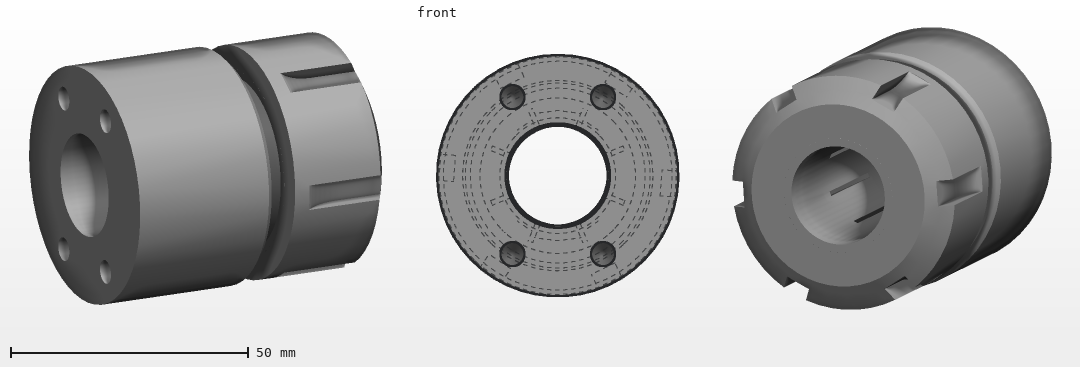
import cadquery as cq
import math


TOTAL_LENGTH = 60.3
SHOULDER_Y = 31.85
NUT_REAR_Y = 36.9
THREAD_FRONT_Y = 53.1
COLLET_REAR_Y = 14.95

BODY_RADIUS = 50.8 / 2
SHOULDER_CHAMFER = 1.3
NECK_RADIUS = 18.4
THREAD_RADIUS = 20.0
BORE_RADIUS = 22.0 / 2

HOLE_DIAMETER = 5.05
HOLE_DEPTH = 12.05
HOLE_CIRCLE_RADIUS = 19.05
HOLE_ANGLES = (60, 120, 240, 300)
DRILL_POINT_ANGLE = 118.0

COLLET_BORE_RADIUS = 10.5
TAPER_ANGLE = 8.0
FRONT_TAPER_ANGLE = 30.0
SLIT_COUNT = 8
SLIT_WIDTH = 1.0
SLIT_DEPTH = 24.15
SLIT_FLOOR_ANGLE = 46.0

NUT_RADIUS = 50.0 / 2
NUT_CHAMFER_LENGTH = 3.2
NUT_CHAMFER_ANGLE = 60.0
NUT_TURN = 4.0
SLOT_COUNT = 6
SLOT_WIDTH = 5.5
SLOT_FLOOR_RADIUS = 21.8
SLOT_REAR_Y = 40.35
SLOT_CUTTER_RADIUS = 11.95
CLEARANCE = 0.6

COLLET_MAX_RADIUS = BORE_RADIUS + (THREAD_FRONT_Y - COLLET_REAR_Y) * math.tan(math.radians(TAPER_ANGLE))
COLLET_FRONT_RADIUS = COLLET_MAX_RADIUS - (TOTAL_LENGTH - THREAD_FRONT_Y) * math.tan(
    math.radians(FRONT_TAPER_ANGLE)
)

NUT_FRONT_RADIUS = NUT_RADIUS - NUT_CHAMFER_LENGTH * math.tan(math.radians(NUT_CHAMFER_ANGLE))

AXIS_START = (0, 0, 0)
AXIS_END = (0, 1, 0)


def turned(outline):
    """Revolve an outline of (y, radius) points about the Y axis."""
    return cq.Workplane("YZ").polyline(outline).close().revolve(360, (0, 0), (1, 0))


def extruded_across(profile, width):
    """Extrude a profile drawn in the YZ plane, centred on that plane."""
    return profile.extrude(width / 2, both=True)


def cut_around(part, cutter, count):
    """Cut equally spaced copies of a cutter around the Y axis, the first half a pitch from +Z."""
    for index in range(count):
        angle = (index + 0.5) * 360 / count
        part = part.cut(cutter.rotate(AXIS_START, AXIS_END, angle))
    return part


def make_mounting_hole():
    """A blind hole on the Y axis, entering at Y = 0 and ending in a drill point."""
    radius = HOLE_DIAMETER / 2
    point_length = radius / math.tan(math.radians(DRILL_POINT_ANGLE / 2))
    return turned([(0, 0), (0, radius), (HOLE_DEPTH, radius), (HOLE_DEPTH + point_length, 0)])


def make_body():
    body = turned(
        [
            (0, BORE_RADIUS),
            (0, BODY_RADIUS),
            (SHOULDER_Y - SHOULDER_CHAMFER, BODY_RADIUS),
            (SHOULDER_Y, BODY_RADIUS - SHOULDER_CHAMFER),
            (SHOULDER_Y, NECK_RADIUS),
            (NUT_REAR_Y, NECK_RADIUS),
            (NUT_REAR_Y, THREAD_RADIUS),
            (THREAD_FRONT_Y, THREAD_RADIUS),
            (THREAD_FRONT_Y, COLLET_MAX_RADIUS),
            (COLLET_REAR_Y, BORE_RADIUS),
        ]
    )
    hole = make_mounting_hole()
    for angle in HOLE_ANGLES:
        x = HOLE_CIRCLE_RADIUS * math.cos(math.radians(angle))
        z = HOLE_CIRCLE_RADIUS * math.sin(math.radians(angle))
        body = body.cut(hole.translate((x, 0, z)))
    return body


def make_slit():
    """A slit open to the rear, its floor sloping forward from the bore outward."""
    inner = COLLET_BORE_RADIUS - CLEARANCE
    outer = COLLET_MAX_RADIUS
    floor_slope = math.tan(math.radians(SLIT_FLOOR_ANGLE))
    floor_at_bore = COLLET_REAR_Y + SLIT_DEPTH
    profile = cq.Workplane("YZ").polyline(
        [
            (COLLET_REAR_Y - CLEARANCE, inner),
            (COLLET_REAR_Y - CLEARANCE, outer),
            (floor_at_bore + (outer - COLLET_BORE_RADIUS) * floor_slope, outer),
            (floor_at_bore + (inner - COLLET_BORE_RADIUS) * floor_slope, inner),
        ]
    ).close()
    return extruded_across(profile, SLIT_WIDTH)


def make_collet():
    collet = turned(
        [
            (COLLET_REAR_Y, COLLET_BORE_RADIUS),
            (COLLET_REAR_Y, BORE_RADIUS),
            (THREAD_FRONT_Y, COLLET_MAX_RADIUS),
            (TOTAL_LENGTH, COLLET_FRONT_RADIUS),
            (TOTAL_LENGTH, COLLET_BORE_RADIUS),
        ]
    )
    return cut_around(collet, make_slit(), SLIT_COUNT)


def make_wrench_slot():
    """A flat-floored slot open to the front, curving out to the nut's surface at the rear."""
    edge_height = math.sqrt(NUT_RADIUS**2 - (SLOT_WIDTH / 2) ** 2)
    rise = edge_height - SLOT_FLOOR_RADIUS
    run = math.sqrt(SLOT_CUTTER_RADIUS**2 - (SLOT_CUTTER_RADIUS - rise) ** 2)
    half_sweep = math.asin(run / SLOT_CUTTER_RADIUS) / 2
    arc_start_y = SLOT_REAR_Y + run
    arc_middle = (
        arc_start_y - SLOT_CUTTER_RADIUS * math.sin(half_sweep),
        SLOT_FLOOR_RADIUS + SLOT_CUTTER_RADIUS * (1 - math.cos(half_sweep)),
    )
    profile = (
        cq.Workplane("YZ")
        .moveTo(TOTAL_LENGTH + CLEARANCE, SLOT_FLOOR_RADIUS)
        .lineTo(arc_start_y, SLOT_FLOOR_RADIUS)
        .threePointArc(arc_middle, (SLOT_REAR_Y, edge_height))
        .lineTo(SLOT_REAR_Y, NUT_RADIUS + CLEARANCE)
        .lineTo(TOTAL_LENGTH + CLEARANCE, NUT_RADIUS + CLEARANCE)
        .close()
    )
    return extruded_across(profile, SLOT_WIDTH)


def make_nut():
    nut = turned(
        [
            (NUT_REAR_Y, THREAD_RADIUS),
            (NUT_REAR_Y, NUT_RADIUS),
            (TOTAL_LENGTH - NUT_CHAMFER_LENGTH, NUT_RADIUS),
            (TOTAL_LENGTH, NUT_FRONT_RADIUS),
            (TOTAL_LENGTH, COLLET_FRONT_RADIUS),
            (THREAD_FRONT_Y, COLLET_MAX_RADIUS),
            (THREAD_FRONT_Y, THREAD_RADIUS),
        ]
    )
    nut = cut_around(nut, make_wrench_slot(), SLOT_COUNT)
    return nut.rotate(AXIS_START, AXIS_END, NUT_TURN)


body = make_body()
collet = make_collet()
nut = make_nut()

bodies = (body, collet, nut)
result = cq.Compound.makeCompound([part.solids().val() for part in bodies])